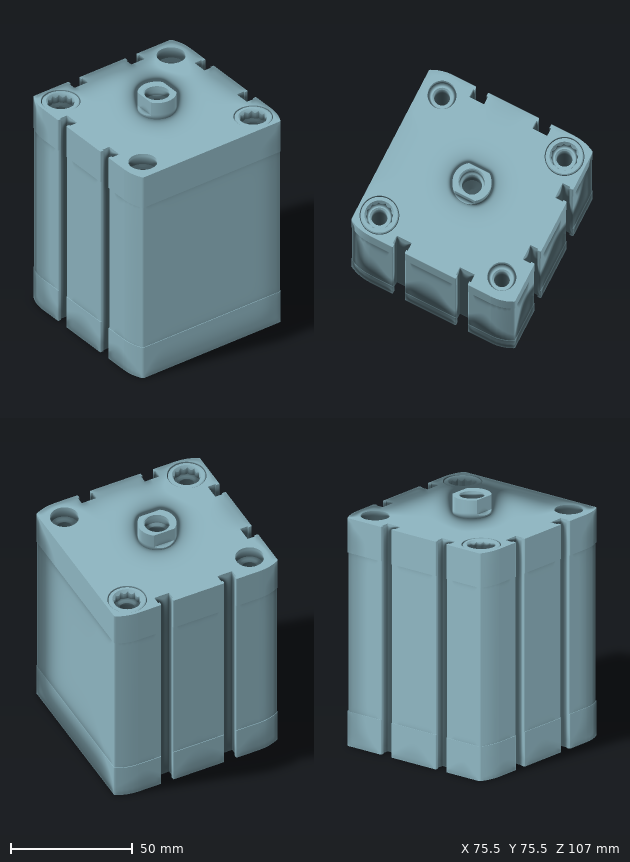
import cadquery as cq
import math

total_height = 107.0
rod_projection = 8.0
housing_height = total_height - rod_projection

cap_width = 75.5
cap_height = 15.0
barrel_inset = 0.27
corner_arc_radius = 19.8
corner_arc_center_x = 28.0
corner_break_radius = 1.1

slot_offset = 14.5
slot_neck_width = 5.5
slot_lip_round = 0.4
slot_neck_depth = 1.6
slot_pocket_width = 6.8
slot_depth = 5.1

hole_spacing = 56.5
through_diameter = 6.6
countersink_diameter = 8.0
counterbore_diameter = 12.0
counterbore_depth = 5.0
countersink_angle = 90.0

head_recess_diameter = 16.4
head_top_diameter = 14.8
head_diameter = 15.5
socket_mouth_diameter = 12.3
socket_throat_diameter = 10.5
socket_cone_depth = 1.7
socket_depth = 4.4
socket_across_flats = 10.0

rod_diameter = 16.0
rod_length = rod_projection + cap_height
flat_width = 13.1
flat_height = 6.3
flat_runout_angle = 30.0
rod_bore_mouth_diameter = 11.3
rod_bore_diameter = 10.5
rod_bore_depth = 4.7
rod_drill_diameter = 8.3
rod_drill_depth = 17.1
drill_tip_angle = 118.0


def outline_prism(inset, bottom, height):
    """Square with bulged corner arcs, each eased into the side face by a small round."""
    half = cap_width / 2 - inset
    arc_radius = corner_arc_radius - inset
    break_radius = corner_break_radius - inset
    arc_center_y = half - arc_radius

    break_x = half - break_radius
    reach_x = break_x - corner_arc_center_x
    reach_y = math.sqrt((arc_radius - break_radius) ** 2 - reach_x ** 2)
    break_y = arc_center_y + reach_y
    meet_angle = math.atan2(reach_y, reach_x)

    def on_arc(angle):
        return (corner_arc_center_x + arc_radius * math.cos(angle),
                arc_center_y + arc_radius * math.sin(angle))

    def on_break(angle):
        return (break_x + break_radius * math.cos(angle), break_y + break_radius * math.sin(angle))

    side_end = (half, break_y)
    break_middle = on_break(meet_angle / 2)
    meeting = on_arc(meet_angle)
    arc_middle = on_arc((meet_angle + math.pi / 2) / 2)
    arc_end = (corner_arc_center_x, half)

    quarter = (
        cq.Workplane("XY").workplane(offset=bottom)
        .lineTo(half, 0)
        .lineTo(*side_end)
        .threePointArc(break_middle, meeting)
        .threePointArc(arc_middle, arc_end)
        .lineTo(0, half)
        .close()
        .extrude(height)
    )
    right_half = quarter.union(quarter.mirror("XZ"))
    return right_half.union(right_half.mirror("YZ")).clean()


def slot_cutter(inset, bottom, height, face_angle, offset):
    """T-slot with rounded lips, cut into the -Y side and then turned about Z to its own side."""
    floor_y = -cap_width / 2 + slot_depth
    pocket_y = -cap_width / 2 + slot_neck_depth
    face_y = -cap_width / 2 + inset
    lip_y = face_y + slot_lip_round
    neck = slot_neck_width / 2
    pocket = slot_pocket_width / 2
    mouth = neck + slot_lip_round
    round_middle_y = lip_y - slot_lip_round * math.sin(math.pi / 4)
    round_middle_x = mouth - slot_lip_round * math.sin(math.pi / 4)
    profile = (
        cq.Workplane("XY").workplane(offset=bottom)
        .center(offset, 0)
        .moveTo(-mouth, face_y)
        .threePointArc((-round_middle_x, round_middle_y), (-neck, lip_y))
        .lineTo(-neck, pocket_y)
        .lineTo(-pocket, pocket_y)
        .lineTo(-pocket, floor_y)
        .lineTo(pocket, floor_y)
        .lineTo(pocket, pocket_y)
        .lineTo(neck, pocket_y)
        .lineTo(neck, lip_y)
        .threePointArc((round_middle_x, round_middle_y), (mouth, face_y))
        .close()
    )
    return profile.extrude(height).rotate((0, 0, 0), (0, 0, 1), face_angle)


def revolve_profile(points):
    """Turn a closed list of (radius, height) points about the Z axis."""
    return cq.Workplane("XZ").polyline(points).close().revolve(360, (0, 0, 0), (0, 1, 0))


def mounting_bore(floor_depth):
    """Through hole, countersunk where it meets a floor at the given depth below the top face."""
    through_radius = through_diameter / 2
    countersink_radius = countersink_diameter / 2
    floor_z = housing_height - floor_depth
    countersink = (countersink_radius - through_radius) / math.tan(math.radians(countersink_angle / 2))
    return revolve_profile([
        (0, 0),
        (through_radius, 0),
        (through_radius, floor_z - countersink),
        (countersink_radius, floor_z),
        (0, floor_z),
    ])


def counterbore_cutter():
    return (
        cq.Workplane("XY").workplane(offset=housing_height - counterbore_depth)
        .circle(counterbore_diameter / 2)
        .extrude(counterbore_depth)
    )


def socket_cutter():
    """Double-hexagon socket with a tapered mouth, its inner corners trimmed by a round bore."""
    mouth_radius = socket_mouth_diameter / 2
    throat_radius = socket_throat_diameter / 2
    floor_z = housing_height - socket_depth
    throat = revolve_profile([
        (0, floor_z),
        (throat_radius, floor_z),
        (throat_radius, housing_height - socket_cone_depth),
        (mouth_radius, housing_height),
        (0, housing_height),
    ])
    hexagon = (
        cq.Workplane("XY").workplane(offset=floor_z)
        .polygon(6, socket_across_flats, circumscribed=True)
        .extrude(socket_depth)
    )
    turned_hexagon = hexagon.rotate((0, 0, 0), (0, 0, 1), 30)
    return throat.union(hexagon).union(turned_hexagon)


def head_groove_cutter():
    """Narrow gap between the cap's recess wall and the screw head with its 45 degree chamfer."""
    recess_radius = head_recess_diameter / 2
    head_radius = head_diameter / 2
    head_top_radius = head_top_diameter / 2
    chamfer_bottom = housing_height - (head_radius - head_top_radius)
    groove_bottom = housing_height - socket_depth
    return revolve_profile([
        (head_top_radius, housing_height),
        (recess_radius, housing_height),
        (recess_radius, groove_bottom),
        (head_radius, groove_bottom),
        (head_radius, chamfer_bottom),
    ])


def rod_cylinder():
    """Full cylinder of the rod, which is also the shape of its hole in the housing."""
    return (
        cq.Workplane("XY").workplane(offset=total_height - rod_length)
        .circle(rod_diameter / 2)
        .extrude(rod_length)
    )


def make_rod():
    radius = rod_diameter / 2
    rod = rod_cylinder()

    flat_y = flat_width / 2
    flat_bottom = total_height - flat_height
    runout = (radius - flat_y) * math.tan(math.radians(flat_runout_angle))
    flat = (
        cq.Workplane("YZ")
        .polyline([
            (flat_y, total_height),
            (flat_y, flat_bottom),
            (radius, flat_bottom - runout),
            (radius, total_height),
        ])
        .close()
        .extrude(radius, both=True)
    )
    rod = rod.cut(flat).cut(flat.mirror("XZ"))

    mouth = rod_bore_mouth_diameter / 2
    bore = rod_bore_diameter / 2
    drill = rod_drill_diameter / 2
    bore_floor = total_height - rod_bore_depth
    drill_floor = total_height - rod_drill_depth
    tip_height = drill / math.tan(math.radians(drill_tip_angle / 2))
    return rod.cut(revolve_profile([
        (0, total_height),
        (mouth, total_height),
        (bore, total_height - (mouth - bore)),
        (bore, bore_floor),
        (drill, bore_floor - (bore - drill)),
        (drill, drill_floor),
        (0, drill_floor - tip_height),
    ]))


def slotted_section(inset, bottom, height):
    """One length of the housing, with two T-slots in each of its front, back and -X sides."""
    section = outline_prism(inset, bottom, height)
    for face_angle in (0, 180, -90):
        for offset in (-slot_offset, slot_offset):
            section = section.cut(slot_cutter(inset, bottom, height, face_angle, offset))
    return section


def make_housing():
    cap_bottom = housing_height - cap_height
    housing = slotted_section(barrel_inset, cap_height, cap_bottom - cap_height)
    for bottom in (0, cap_bottom):
        housing = housing.union(slotted_section(0, bottom, cap_height))

    hole = hole_spacing / 2
    for side_x in (-1, 1):
        for side_y in (-1, 1):
            place = (side_x * hole, side_y * hole, 0)
            if side_x == side_y:
                housing = housing.cut(mounting_bore(socket_depth).translate(place))
                housing = housing.cut(socket_cutter().translate(place))
                housing = housing.cut(head_groove_cutter().translate(place))
            else:
                housing = housing.cut(mounting_bore(counterbore_depth).translate(place))
                housing = housing.cut(counterbore_cutter().translate(place))

    return housing.cut(rod_cylinder())


housing = make_housing()
rod = make_rod()
result = cq.Compound.makeCompound([housing.val(), rod.val()])